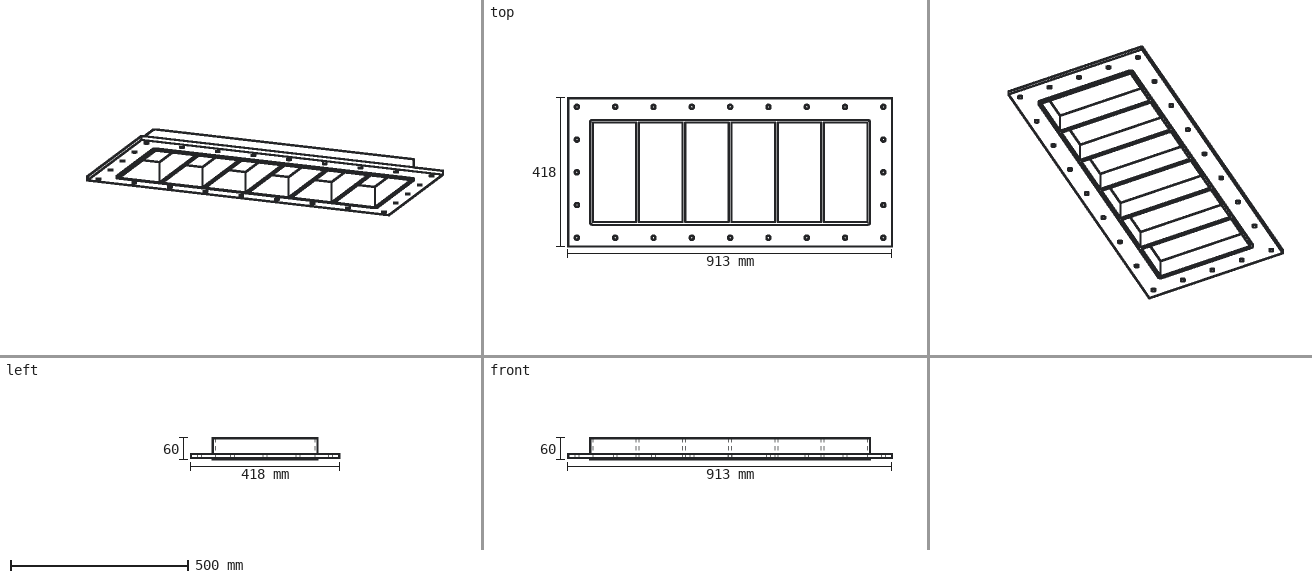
import cadquery as cq

flange_length = 913.0
flange_width = 418.0
flange_thickness = 12.0

frame_length = 790.0
frame_width = 296.0
frame_height = 60.0
frame_corner_radius = 8.0
wall = 8.0
below_flange = 4.0

opening_count = 6
rib_thickness = 8.0

hole_diameter = 11.0
hole_edge_distance = 25.0
holes_along_length = 9
holes_along_width = 5

opening_area_length = frame_length - 2 * wall
opening_length = (opening_area_length - (opening_count - 1) * rib_thickness) / opening_count
opening_width = frame_width - 2 * wall
opening_pitch = opening_length + rib_thickness
hole_span_x = flange_length - 2 * hole_edge_distance
hole_span_y = flange_width - 2 * hole_edge_distance
hole_pitch_x = hole_span_x / (holes_along_length - 1)
hole_pitch_y = hole_span_y / (holes_along_width - 1)


def make_flange():
    """Flat plate with a single row of bolt holes along each edge."""
    plate = cq.Workplane("XY", origin=(0, 0, below_flange)).box(
        flange_length, flange_width, flange_thickness, centered=(True, True, False)
    )
    plate = (
        plate.faces(">Z").workplane()
        .rarray(hole_pitch_x, hole_span_y, holes_along_length, 2)
        .hole(hole_diameter)
    )
    return (
        plate.faces(">Z").workplane()
        .rarray(hole_span_x, hole_pitch_y, 2, holes_along_width - 2)
        .hole(hole_diameter)
    )


def make_frame_block():
    """Solid block with rounded vertical corners, before the openings are cut."""
    block = cq.Workplane("XY").box(
        frame_length, frame_width, frame_height, centered=(True, True, False)
    )
    return block.edges("|Z").fillet(frame_corner_radius)


def make_openings():
    """Row of through openings that leaves the ribs and the frame walls."""
    return (
        cq.Workplane("XY")
        .rarray(opening_pitch, 9, opening_count, 1)
        .rect(opening_length, opening_width)
        .extrude(frame_height)
    )


result = make_flange().union(make_frame_block()).cut(make_openings())